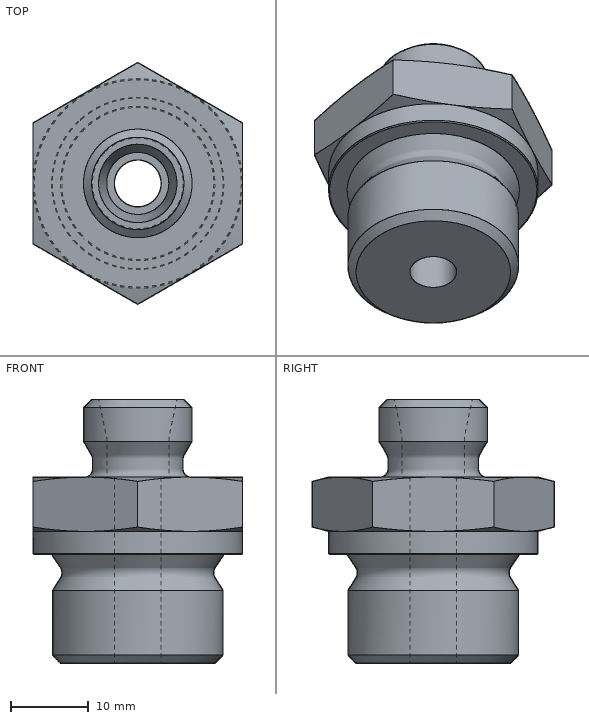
import cadquery as cq
import math

stud_cylinder_top = 9.4
stud_groove_bottom = 11.1
stud_groove_top = 12.25
flange_bottom = 14.0
hex_bottom = 17.0
hex_top = 24.0
port_cylinder_bottom = 28.6
total_height = 34.0

stud_diameter = 22.0
stud_groove_edge_diameter = 19.85
stud_groove_root_diameter = 19.6
undercut_diameter = 22.2
flange_diameter = 27.0
flange_chamfer = 0.15
hex_across_flats = 27.0
hex_sides = 6
hex_chamfer_angle = 15.0
neck_diameter = 11.7
port_diameter = 14.0
thread_chamfer = 1.05
neck_fillet = 1.0
cone_angle = 30.0
neck_top_fillet = 1.0

bore_diameter = 6.0
tube_socket_diameter = 8.0
tube_socket_depth = 10.0
socket_mouth_diameter = 10.1
socket_cone_half_angle = 12.0


def revolve_about_axis(profile):
    """Turn a closed radius-height profile about the Z axis."""
    return profile.close().revolve(360, (0, 0, 0), (0, 1, 0))


def make_stud():
    """Threaded stud with its chamfered end, groove and sealing flange."""
    radius = stud_diameter / 2
    groove_edge_radius = stud_groove_edge_diameter / 2
    groove_root = (stud_groove_root_diameter / 2, (stud_groove_bottom + stud_groove_top) / 2)
    flange_radius = flange_diameter / 2
    profile = (
        cq.Workplane("XZ")
        .lineTo(radius - thread_chamfer, 0)
        .lineTo(radius, thread_chamfer)
        .lineTo(radius, stud_cylinder_top)
        .lineTo(groove_edge_radius, stud_groove_bottom)
        .threePointArc(groove_root, (groove_edge_radius, stud_groove_top))
        .lineTo(undercut_diameter / 2, flange_bottom)
        .lineTo(flange_radius - flange_chamfer, flange_bottom)
        .lineTo(flange_radius, flange_bottom + flange_chamfer)
        .lineTo(flange_radius, hex_bottom)
        .lineTo(0, hex_bottom)
    )
    return revolve_about_axis(profile)


def make_hex():
    """Hexagon with corners on the Y axis, chamfered on both ends."""
    corner_radius = hex_across_flats / math.sqrt(3)
    flat_radius = hex_across_flats / 2
    corner_drop = (corner_radius - flat_radius) * math.tan(math.radians(hex_chamfer_angle))
    corner_turn = 180 / hex_sides
    prism = (
        cq.Workplane("XY", origin=(0, 0, hex_bottom))
        .polygon(hex_sides, 2 * corner_radius)
        .extrude(hex_top - hex_bottom)
        .rotate((0, 0, 0), (0, 0, 1), corner_turn)
    )
    envelope = revolve_about_axis(
        cq.Workplane("XZ")
        .moveTo(0, hex_bottom)
        .lineTo(flat_radius, hex_bottom)
        .lineTo(corner_radius, hex_bottom + corner_drop)
        .lineTo(corner_radius, hex_top - corner_drop)
        .lineTo(flat_radius, hex_top)
        .lineTo(0, hex_top)
    )
    return prism.intersect(envelope)


def make_port():
    """Tube port with a filleted neck and a chamfered threaded end."""
    radius = port_diameter / 2
    neck_radius = neck_diameter / 2
    cone_height = (radius - neck_radius) / math.tan(math.radians(cone_angle))
    neck_top = port_cylinder_bottom - cone_height
    tangent = neck_top_fillet * math.tan(math.radians(cone_angle / 2))
    fillet_start = (neck_radius, neck_top - tangent)
    fillet_end = (
        neck_radius + tangent * math.sin(math.radians(cone_angle)),
        neck_top + tangent * math.cos(math.radians(cone_angle)),
    )
    profile = (
        cq.Workplane("XZ")
        .moveTo(0, hex_top)
        .lineTo(neck_radius + neck_fillet, hex_top)
        .radiusArc((neck_radius, hex_top + neck_fillet), neck_fillet)
        .lineTo(*fillet_start)
        .radiusArc(fillet_end, neck_top_fillet)
        .lineTo(radius, port_cylinder_bottom)
        .lineTo(radius, total_height - thread_chamfer)
        .lineTo(radius - thread_chamfer, total_height)
        .lineTo(0, total_height)
    )
    return revolve_about_axis(profile)


def make_bore():
    """Through bore opening into a tube socket with a conical mouth."""
    bore_radius = bore_diameter / 2
    socket_radius = tube_socket_diameter / 2
    mouth_radius = socket_mouth_diameter / 2
    cone_depth = (mouth_radius - socket_radius) / math.tan(math.radians(socket_cone_half_angle))
    socket_floor = total_height - tube_socket_depth
    return revolve_about_axis(
        cq.Workplane("XZ")
        .lineTo(bore_radius, 0)
        .lineTo(bore_radius, socket_floor)
        .lineTo(socket_radius, socket_floor)
        .lineTo(socket_radius, total_height - cone_depth)
        .lineTo(mouth_radius, total_height)
        .lineTo(0, total_height)
    )


result = make_stud().union(make_hex()).union(make_port()).cut(make_bore())